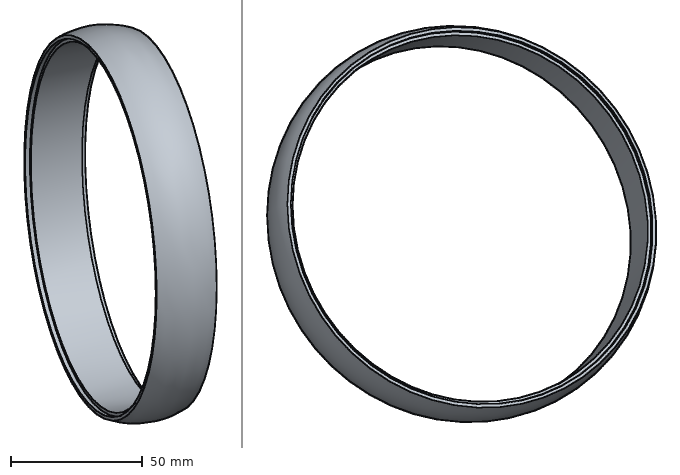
import cadquery as cq

outer_radius = 76.2
rim_radius = 73.8
bore_radius = 71.0
width = 24.2

recess_radius = 72.4
recess_depth = 1.8

half_width = width / 2
ledge_y = half_width - recess_depth

section = (
    cq.Workplane("XY")
    .moveTo(rim_radius, -half_width)
    .threePointArc((outer_radius, 0), (rim_radius, half_width))
    .lineTo(recess_radius, half_width)
    .lineTo(recess_radius, ledge_y)
    .lineTo(bore_radius, ledge_y)
    .lineTo(bore_radius, -ledge_y)
    .lineTo(recess_radius, -ledge_y)
    .lineTo(recess_radius, -half_width)
    .close()
)

result = section.revolve(360, (0, 0, 0), (0, 1, 0))